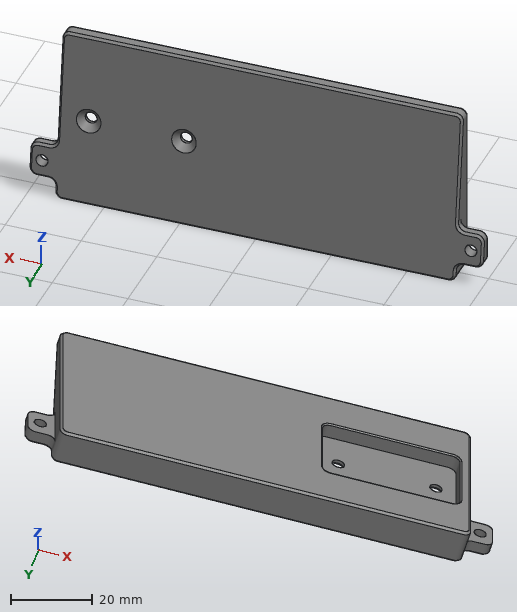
import cadquery as cq
import math

overall_length = 119.7
body_length = 105.7
body_height = 46.0
bottom_thickness = 9.1
top_thickness = 3.6
corner_radius = 1.9
edge_chamfer = 0.6

ear_height = 9.0
ear_center_z = 9.6
ear_front_y = 5.0
ear_radius = 2.0
hole_diameter = 3.1
ear_hole_inset = 3.2

pocket_center_x = 32.3
pocket_length = 36.1
pocket_height = 22.3
pocket_depth = 3.8
pocket_radius = 2.5
pocket_chamfer = 0.4
screw_spacing = 25.1
countersink_diameter = 6.5
countersink_angle = 90.0

mid_z = body_height / 2
back_slope = (bottom_thickness - top_thickness) / body_height


def back_y(z):
    """Depth of the sloping back face at height z."""
    return bottom_thickness - back_slope * z


def front_plane(x, y, z):
    """Plane facing +Y, with local x pointing to -X and local y to +Z."""
    return cq.Workplane(cq.Plane((x, y, z), (-1, 0, 0), (0, 1, 0)))


def make_body():
    return (
        front_plane(0, 0, mid_z)
        .rect(body_length, body_height)
        .extrude(bottom_thickness)
        .edges("|Y")
        .fillet(corner_radius)
    )


def make_ears():
    """Both ears as one bar through the body, flared where it meets the sides."""
    bar = (
        front_plane(0, ear_front_y, ear_center_z)
        .rect(overall_length, ear_height)
        .extrude(bottom_thickness - ear_front_y)
        .edges("|Y")
        .fillet(ear_radius)
    )
    root = front_plane(0, ear_front_y, ear_center_z)
    root = root.rect(body_length + 2 * ear_radius, ear_height + 2 * ear_radius)
    root = root.extrude(bottom_thickness - ear_front_y)
    for side_x in (-1, 1):
        for side_z in (-1, 1):
            x = side_x * (body_length / 2 + ear_radius)
            z = ear_center_z + side_z * (ear_height / 2 + ear_radius)
            root = root.cut(front_plane(x, ear_front_y, z).circle(ear_radius).extrude(bottom_thickness))
    return bar.union(root)


def make_wedge_space():
    """Side profile of the wedge, spanning the full length."""
    profile = [(0, 0), (bottom_thickness, 0), (top_thickness, body_height), (0, body_height)]
    return cq.Workplane("YZ").polyline(profile).close().extrude(overall_length / 2, both=True)


def make_pocket_prism(inset, depth):
    """Rounded prism whose sides lie inside the pocket mouth by the given inset."""
    return (
        front_plane(pocket_center_x, 0, mid_z)
        .rect(pocket_length - 2 * inset, pocket_height - 2 * inset)
        .extrude(depth)
        .edges("|Y")
        .fillet(pocket_radius - inset)
    )


def make_pocket():
    """Straight-walled pocket with a 45 degree bevel around its mouth."""
    bevel = make_pocket_prism(0, 2 * pocket_chamfer).faces(">Y").chamfer(pocket_chamfer)
    mouth = bevel.translate((0, -pocket_chamfer, 0))
    return mouth.union(make_pocket_prism(pocket_chamfer, pocket_depth))


def make_hole(x, z):
    return front_plane(x, 0, z).circle(hole_diameter / 2).extrude(bottom_thickness)


def make_countersink(x):
    """Cone opening square to the sloping back face."""
    radius = countersink_diameter / 2
    depth = radius / math.tan(math.radians(countersink_angle / 2))
    inward = cq.Vector(0, -1, -back_slope)
    return cq.Workplane(cq.Solid.makeCone(radius, 0, depth, cq.Vector(x, back_y(mid_z), mid_z), inward))


result = make_body().union(make_ears()).intersect(make_wedge_space())
result = result.faces("<Y").chamfer(edge_chamfer)
back_normal = cq.Vector(0, 1, back_slope)
result = result.faces(cq.selectors.DirectionMinMaxSelector(back_normal, True)).chamfer(edge_chamfer)
result = result.cut(make_pocket())

for side in (-1, 1):
    screw_x = pocket_center_x + side * screw_spacing / 2
    result = result.cut(make_hole(screw_x, mid_z)).cut(make_countersink(screw_x))
    result = result.cut(make_hole(side * (overall_length / 2 - ear_hole_inset), ear_center_z))